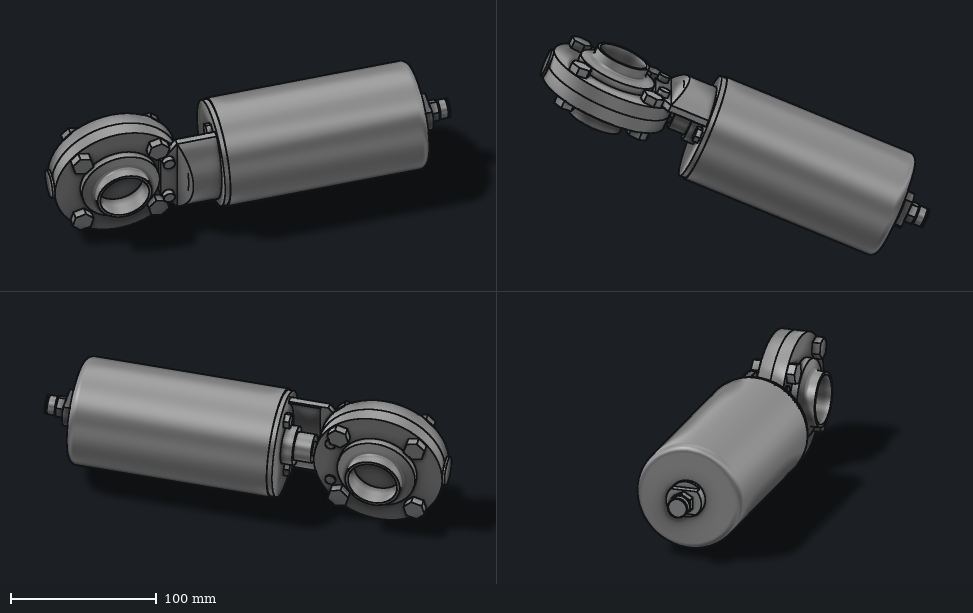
import cadquery as cq
import math


flange_radius = 45.5
flange_half_width = 10.0
hub_radius = 27.5
hub_face_x = 15.0
cone_end_x = 16.8
cone_end_radius = 21.5
pipe_start_x = 19.3
pipe_end_x = 25.3
pipe_radius = 19.3
bore_radius = 17.3
fillet_middle_angle = math.radians(45)

bolt_offset = 27.0
bolt_flats = 13.3
bolt_head_end_x = 16.0

screw_y = 33.5
screw_z = 16.2
screw_radius = 3.7
screw_tip_length = 1.0
screw_head_radius = 4.0
screw_head_height = 4.3

disc_thickness = 18.7
journal_radius = 6.8
drive_side = 9.7
collar_radius = 10.0
collar_thickness = 1.7

actuator_start_y = 68.2
actuator_end_y = 214.5
actuator_radius = 38.0
actuator_fillet = 5.5
lip_length = 3.7
lip_radius = 37.2
boss_radius = 13.5
boss_start_y = 60.0
coupling_radius = 10.0
coupling_start_y = 47.7
cover_bolt_z = 22.0
cover_bolt_flats = 9.7
cover_bolt_height = 4.0

fitting_radius = 12.8
fitting_end_y = 223.0
fitting_flats = 17.0
fitting_flats_length = 5.5
nut_flats = 13.3
nut_end_y = 229.0
neck_radius = 6.0
neck_length = 0.9
nozzle_radius = 6.8
groove_radius = 6.5
groove_length = 0.9
rim_length = 0.9
total_length = 284.0
nozzle_end_y = total_length - flange_radius - collar_thickness

plate_thickness = 4.8
plate_back_x = flange_half_width + plate_thickness
plate_half_height = 30.5
plate_end_y = 28.5
plate_end_half_height = 16.2
plate_chamfer_y = 40.0
guard_peak_x = 28.5
guard_radius = 40.5
guard_axis_x = guard_peak_x - guard_radius
guard_slope_y = 48.0
window_end_y = 45.7
window_half_height = 28.7
window_radius = math.hypot(flange_half_width - guard_axis_x, window_half_height)


def cylinder_y(radius, start_y, end_y):
    """Round bar along the Y axis."""
    plane = cq.Workplane(cq.Plane((0, start_y, 0), (0, 0, 1), (0, 1, 0)))
    return plane.circle(radius).extrude(end_y - start_y)


def hexagon_y(flats, start_y, end_y, z=0.0):
    """Hexagonal bar along Y with two of its flats facing +X and -X."""
    plane = cq.Workplane(cq.Plane((0, start_y, z), (1, 0, 0), (0, 1, 0)))
    return plane.polygon(6, flats, circumscribed=True).extrude(end_y - start_y)


def cylinder_x(radius, start_x, end_x, y=0.0, z=0.0):
    """Round bar along X."""
    plane = cq.Workplane("YZ", origin=(start_x, y, z))
    return plane.circle(radius).extrude(end_x - start_x)


def bolt_head(y_side, z_side):
    """Hexagonal head on the +X flange face, with one flat turned away from the bore."""
    outward = cq.Vector(0, y_side, z_side)
    origin = (flange_half_width, y_side * bolt_offset, z_side * bolt_offset)
    plane = cq.Workplane(cq.Plane(origin, outward, (1, 0, 0)))
    head = plane.polygon(6, bolt_flats, circumscribed=True)
    return head.extrude(bolt_head_end_x - flange_half_width)


def build_flange_half():
    """Flange half on the +X side: flange, coned hub, pipe stub and bolt heads."""
    fillet_middle_x = pipe_start_x - (pipe_start_x - cone_end_x) * math.sin(fillet_middle_angle)
    fillet_middle_radius = cone_end_radius - (cone_end_radius - pipe_radius) * math.sin(fillet_middle_angle)
    profile = (
        cq.Workplane("XZ")
        .moveTo(0, bore_radius)
        .lineTo(0, flange_radius)
        .lineTo(flange_half_width, flange_radius)
        .lineTo(flange_half_width, hub_radius)
        .lineTo(hub_face_x, hub_radius)
        .lineTo(cone_end_x, cone_end_radius)
        .threePointArc((fillet_middle_x, fillet_middle_radius), (pipe_start_x, pipe_radius))
        .lineTo(pipe_end_x, pipe_radius)
        .lineTo(pipe_end_x, bore_radius)
        .close()
    )
    half = profile.revolve(360, (0, 0, 0), (1, 0, 0))
    for y_side in (-1, 1):
        for z_side in (-1, 1):
            half = half.union(bolt_head(y_side, z_side))
    return half.cut(cylinder_y(journal_radius, -flange_radius, flange_radius))


def build_left_flange():
    """Mirrored flange half, with the tips of the bracket screws."""
    half = build_flange_half().mirror("YZ")
    for z in (-screw_z, screw_z):
        tip = cylinder_x(screw_radius, -flange_half_width - screw_tip_length, -flange_half_width, screw_y, z)
        half = half.union(tip)
    return half


def build_valve_disc():
    """Disc that closes the bore, with its two journals, drive square and end collar."""
    journals = cylinder_y(journal_radius, -flange_radius, flange_radius)
    disc = cylinder_x(bore_radius, -disc_thickness / 2, disc_thickness / 2)
    collar = cylinder_y(collar_radius, -flange_radius - collar_thickness, -flange_radius)
    drive = (
        cq.Workplane(cq.Plane((0, flange_radius, 0), (1, 0, 1), (0, 1, 0)))
        .rect(drive_side, drive_side)
        .extrude(coupling_start_y - flange_radius)
    )
    return disc.union(journals).union(collar).union(drive)


def build_fitting():
    """Air fitting: round base with two spanner flats, hexagon, neck and grooved nozzle."""
    flats_start_y = fitting_end_y - fitting_flats_length
    base = cylinder_y(fitting_radius, actuator_end_y, flats_start_y)
    flatted = cylinder_y(fitting_radius, flats_start_y, fitting_end_y)
    between_flats = cq.Workplane("XY").box(2 * fitting_radius, 2 * fitting_end_y, fitting_flats)
    nozzle_start_y = nut_end_y + neck_length
    rim_start_y = nozzle_end_y - rim_length
    groove_start_y = rim_start_y - groove_length
    return (
        base.union(flatted.intersect(between_flats))
        .union(hexagon_y(nut_flats, fitting_end_y, nut_end_y))
        .union(cylinder_y(neck_radius, nut_end_y, nozzle_start_y))
        .union(cylinder_y(nozzle_radius, nozzle_start_y, groove_start_y))
        .union(cylinder_y(groove_radius, groove_start_y, rim_start_y))
        .union(cylinder_y(nozzle_radius, rim_start_y, nozzle_end_y))
    )


def build_actuator():
    """Cylinder with its lip, output boss, coupling, cover bolts and air fitting."""
    lip_end_y = actuator_start_y + lip_length
    body = cylinder_y(actuator_radius, lip_end_y, actuator_end_y).faces(">Y").edges().fillet(actuator_fillet)
    actuator = (
        body.union(cylinder_y(lip_radius, actuator_start_y, lip_end_y))
        .union(cylinder_y(boss_radius, boss_start_y, actuator_start_y))
        .union(cylinder_y(coupling_radius, coupling_start_y, boss_start_y))
    )
    for z in (-cover_bolt_z, cover_bolt_z):
        head = hexagon_y(cover_bolt_flats, actuator_start_y - cover_bolt_height, actuator_start_y, z)
        actuator = actuator.union(head)
    return actuator.union(build_fitting())


def build_bracket():
    """Plate against the +X flange, with the hollow guard behind it and two screw heads."""
    plate = (
        cq.Workplane("YZ", origin=(flange_half_width, 0, 0))
        .polyline([
            (actuator_start_y, -plate_half_height),
            (actuator_start_y, plate_half_height),
            (plate_chamfer_y, plate_half_height),
            (plate_end_y, plate_end_half_height),
            (plate_end_y, -plate_end_half_height),
            (plate_chamfer_y, -plate_half_height),
        ])
        .close()
        .extrude(plate_thickness)
    )
    guard_side = (
        cq.Workplane("XY", origin=(0, 0, -plate_half_height))
        .polyline([
            (plate_back_x, actuator_start_y),
            (guard_peak_x, actuator_start_y),
            (guard_peak_x, guard_slope_y),
            (plate_back_x, plate_chamfer_y),
        ])
        .close()
        .extrude(2 * plate_half_height)
    )
    guard_axis = (guard_axis_x, 0, 0)
    outer_round = cylinder_y(guard_radius, plate_end_y, actuator_start_y).translate(guard_axis)
    window = cylinder_y(window_radius, window_end_y, actuator_start_y).translate(guard_axis)
    bracket = plate.union(guard_side.intersect(outer_round)).cut(window)
    for z in (-screw_z, screw_z):
        head = cylinder_x(screw_head_radius, plate_back_x, plate_back_x + screw_head_height, screw_y, z)
        bracket = bracket.union(head)
    return bracket


right_flange = build_flange_half()
left_flange = build_left_flange()
valve_disc = build_valve_disc()
actuator = build_actuator()
bracket = build_bracket()

result = cq.Compound.makeCompound([
    right_flange.val(),
    left_flange.val(),
    valve_disc.val(),
    actuator.val(),
    bracket.val(),
])